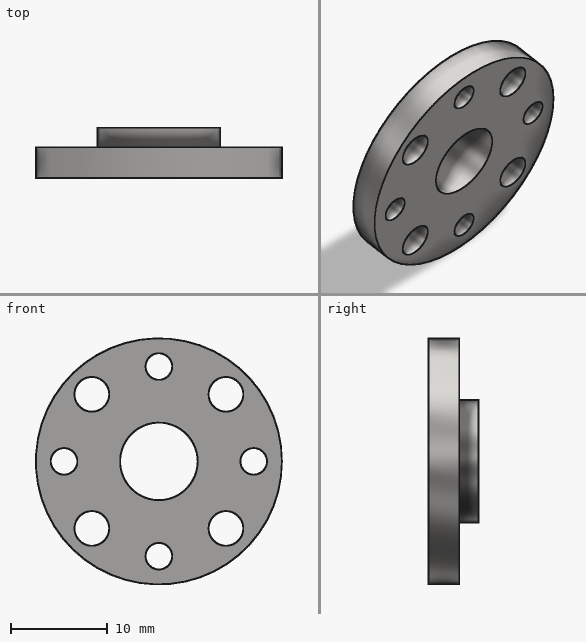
import cadquery as cq

flange_diameter = 25.4
total_depth = 5.2
flange_thickness = 3.2

hub_diameter = flange_diameter / 2
bore_diameter = 7.97

bolt_circle_radius = 9.78
small_hole_diameter = 2.72
large_hole_diameter = 3.55
holes_per_set = 4
large_hole_start_angle = 180 / holes_per_set


def cylinder_along_y(diameter, depth):
    """Cylinder on the Y axis, from the flange face at Y = 0 towards +Y."""
    return cq.Workplane("XZ").circle(diameter / 2).extrude(-depth)


def hole_ring(diameter, start_angle):
    """Cutters for one set of flange holes, evenly spaced on the bolt circle."""
    return (
        cq.Workplane("XZ")
        .polarArray(bolt_circle_radius, start_angle, 360, holes_per_set)
        .circle(diameter / 2)
        .extrude(-flange_thickness)
    )


flange = cylinder_along_y(flange_diameter, flange_thickness)
hub = cylinder_along_y(hub_diameter, total_depth)
bore = cylinder_along_y(bore_diameter, total_depth)

result = (
    flange.union(hub)
    .cut(bore)
    .cut(hole_ring(small_hole_diameter, 0))
    .cut(hole_ring(large_hole_diameter, large_hole_start_angle))
)